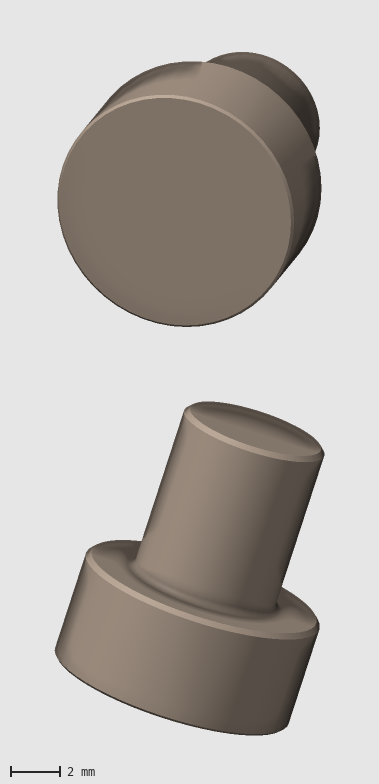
import cadquery as cq

TOTAL_LENGTH = 11.5
HEAD_DIAMETER = 10.0
HEAD_LENGTH = 4.5
STEM_DIAMETER = 6.0
STEM_LENGTH = TOTAL_LENGTH - HEAD_LENGTH

POCKET_DIAMETER = 9.0
MAGNET_DIAMETER = 8.5
POCKET_DEPTH = 3.0

FACE_CHAMFER = 0.1
BACK_CHAMFER = 0.2
NECK_FILLET = 0.3

FACE_Y = -TOTAL_LENGTH / 2
SHOULDER_Y = FACE_Y + HEAD_LENGTH


def cylinder(diameter, length, start_y):
    """Solid cylinder on the Y axis, running toward +Y from start_y."""
    return (
        cq.Workplane("XZ", origin=(0, start_y, 0))
        .circle(diameter / 2)
        .extrude(-length)
    )


def make_housing():
    """Head and stem in one piece, with a round pocket in the magnetic face."""
    head = (
        cylinder(HEAD_DIAMETER, HEAD_LENGTH, FACE_Y)
        .faces("<Y").edges().chamfer(FACE_CHAMFER)
        .faces(">Y").edges().chamfer(BACK_CHAMFER)
    )
    stem = (
        cylinder(STEM_DIAMETER, STEM_LENGTH, SHOULDER_Y)
        .faces(">Y").edges().chamfer(BACK_CHAMFER)
    )
    body = head.union(stem)
    shoulder_edges = body.faces("|Y").faces(">Y[-2]").edges()
    body = shoulder_edges.edges(cq.selectors.RadiusNthSelector(0)).fillet(NECK_FILLET)
    return body.cut(cylinder(POCKET_DIAMETER, POCKET_DEPTH, FACE_Y))


def make_magnet():
    """Disc magnet, flush with the face of the housing."""
    return cylinder(MAGNET_DIAMETER, POCKET_DEPTH, FACE_Y)


def make_spacer_ring():
    """Thin sleeve filling the gap between magnet and pocket wall."""
    return cylinder(POCKET_DIAMETER, POCKET_DEPTH, FACE_Y).cut(make_magnet())


housing = make_housing()
spacer_ring = make_spacer_ring()
magnet = make_magnet()

result = cq.Compound.makeCompound([housing.val(), spacer_ring.val(), magnet.val()])